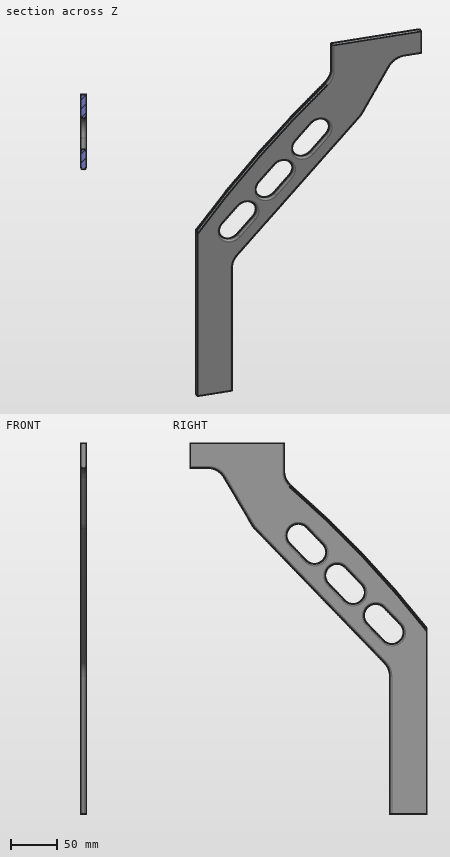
import cadquery as cq
import math

thickness = 6.0
depth = 255.0
height = 400.0

leg_width = 40.0
leg_back_height = 200.5
flange_length = 101.5
flange_height = 27.0
arm_angle = 46.0
brace_angle = 59.5
inner_corner_z = 157.3
arm_end_from_back = 187.0
bend_radius = 20.0
back_curve_radius = 1120.0
back_curve_top_z = 360.2
edge_radius = 2.0

slot_count = 3
slot_width = 25.0
slot_length = 50.0
slot_pitch = 60.0
middle_slot_from_back = 88.1
middle_slot_z = 248.2

back_y = depth / 2
tip_y = -depth / 2
leg_front_y = back_y - leg_width
flange_root_y = tip_y + flange_length
bottom_z = -height / 2
top_z = height / 2
flange_under_z = top_z - flange_height
leg_back = (back_y, bottom_z + leg_back_height)
leg_corner = (leg_front_y, bottom_z + inner_corner_z)
flange_root = (flange_root_y, bottom_z + back_curve_top_z)
arm_rise = (arm_end_from_back - leg_width) * math.tan(math.radians(arm_angle))
arm_end = (back_y - arm_end_from_back, leg_corner[1] + arm_rise)
brace_run = (flange_under_z - arm_end[1]) / math.tan(math.radians(brace_angle))
brace_top = (arm_end[0] - brace_run, flange_under_z)


def bulge_point(start, end, radius):
    """Middle of the arc from start to end, bulging to the left of travel."""
    chord_y = end[0] - start[0]
    chord_z = end[1] - start[1]
    chord = math.hypot(chord_y, chord_z)
    rise = radius - math.sqrt(radius ** 2 - (chord / 2) ** 2)
    mid_y = (start[0] + end[0]) / 2 - rise * chord_z / chord
    mid_z = (start[1] + end[1]) / 2 + rise * chord_y / chord
    return (mid_y, mid_z)


def at_corner(corner):
    """Selector for the edge through the thickness at a (y, z) corner."""
    margin = 0.5
    low = (-thickness, corner[0] - margin, corner[1] - margin)
    high = (thickness, corner[0] + margin, corner[1] + margin)
    return cq.selectors.BoxSelector(low, high)


def plate():
    """Plate with its four bends rounded."""
    blank = (
        cq.Workplane("YZ")
        .moveTo(back_y, bottom_z)
        .lineTo(leg_front_y, bottom_z)
        .lineTo(*leg_corner)
        .lineTo(*arm_end)
        .lineTo(*brace_top)
        .lineTo(tip_y, flange_under_z)
        .lineTo(tip_y, top_z)
        .lineTo(flange_root_y, top_z)
        .lineTo(*flange_root)
        .threePointArc(bulge_point(flange_root, leg_back, back_curve_radius), leg_back)
        .close()
        .extrude(thickness / 2, both=True)
    )
    for corner in (leg_corner, arm_end, brace_top, flange_root):
        blank = blank.edges("|X").edges(at_corner(corner)).fillet(bend_radius)
    return blank


def slots():
    """Cutters for the row of slots, centred on the middle one."""
    direction = math.radians(arm_angle)
    middle = (slot_count - 1) / 2
    centres = []
    for index in range(slot_count):
        offset = (index - middle) * slot_pitch
        slot_y = back_y - middle_slot_from_back - offset * math.cos(direction)
        slot_z = bottom_z + middle_slot_z + offset * math.sin(direction)
        centres.append((slot_y, slot_z))
    return (
        cq.Workplane("YZ")
        .pushPoints(centres)
        .slot2D(slot_length, slot_width, 180 - arm_angle)
        .extrude(thickness, both=True)
    )


def round_edges(body):
    """Round the edges of both faces, leaving the outer straight sides square."""
    square_sides = body.faces("<Y or >Y or <Z or >Z").edges()
    rims = body.faces("<X or >X").edges()
    square = [edge.hashCode() for edge in square_sides.vals()]
    worked = [edge for edge in rims.vals() if edge.hashCode() not in square]
    return body.newObject(worked).fillet(edge_radius)


result = round_edges(plate().cut(slots()))